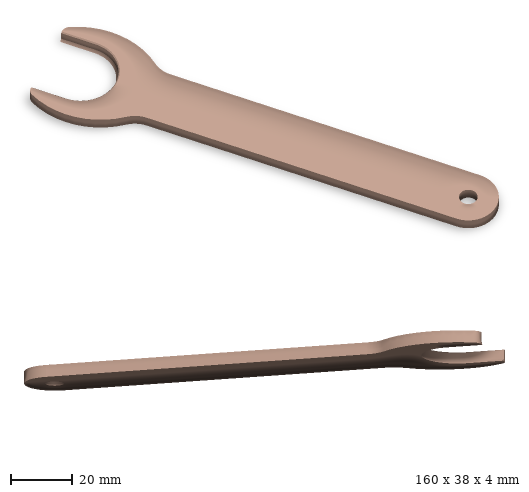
import cadquery as cq
import math

length = 160.0
thickness = 4.0
handle_width = 20.0
hang_hole_diameter = 6.0

head_width = 38.0
head_arc_radius = 29.0
head_center_x = 15.0
neck_radius = 10.0
tip_radius = 2.9

jaw_center_x = 12.2
jaw_radius = 12.5
rim_chamfer = 0.4
lip_size = 0.8

handle_half = handle_width / 2
end_center_x = length - handle_half
flank_center = (head_center_x, head_width / 2 - head_arc_radius)

neck_center_y = handle_half + neck_radius
neck_reach = head_arc_radius + neck_radius
neck_center = (
    head_center_x + math.sqrt(neck_reach**2 - (neck_center_y - flank_center[1]) ** 2),
    neck_center_y,
)

tip_reach = head_arc_radius - tip_radius
tip_center = (
    tip_radius,
    flank_center[1] + math.sqrt(tip_reach**2 - (head_center_x - tip_radius) ** 2),
)


def direction(start, end):
    """Angle of the line from start to end."""
    return math.atan2(end[1] - start[1], end[0] - start[0])


def on_circle(center, radius, angle):
    return center[0] + radius * math.cos(angle), center[1] + radius * math.sin(angle)


def make_half_body():
    """Half of the wrench plate on the +Y side of the centerline."""
    neck_angle = direction(neck_center, flank_center)
    tip_angle = direction(flank_center, tip_center)
    neck_middle_angle = (neck_angle - math.pi / 2) / 2
    tip_middle_angle = (tip_angle + math.pi) / 2
    return (
        cq.Workplane("XY")
        .lineTo(length, 0)
        .threePointArc(
            on_circle((end_center_x, 0), handle_half, math.pi / 4),
            (end_center_x, handle_half),
        )
        .lineTo(neck_center[0], handle_half)
        .threePointArc(
            on_circle(neck_center, neck_radius, neck_middle_angle),
            on_circle(neck_center, neck_radius, neck_angle),
        )
        .threePointArc(
            on_circle(flank_center, head_arc_radius, math.pi / 2),
            on_circle(flank_center, head_arc_radius, tip_angle),
        )
        .threePointArc(
            on_circle(tip_center, tip_radius, tip_middle_angle),
            (0, tip_center[1]),
        )
        .close()
        .extrude(thickness)
    )


def make_jaw_slab(radius):
    """U-shaped slab of the full plate thickness, open toward -X."""
    open_end_x = -radius
    return (
        cq.Workplane("XY")
        .moveTo(open_end_x, -radius)
        .lineTo(jaw_center_x, -radius)
        .threePointArc((jaw_center_x + radius, 0), (jaw_center_x, radius))
        .lineTo(open_end_x, radius)
        .close()
        .extrude(thickness)
    )


def make_jaw_opening():
    """Jaw cutter with the lip at its bottom and the flared rim at its top."""
    wall = make_jaw_slab(jaw_radius).faces("<Z").chamfer(lip_size)
    flare = (
        make_jaw_slab(jaw_radius + rim_chamfer)
        .faces("<Z")
        .chamfer(rim_chamfer)
        .translate((0, 0, thickness - rim_chamfer))
    )
    return wall.union(flare)


def make_hang_hole():
    return (
        cq.Workplane("XY")
        .center(end_center_x, 0)
        .circle(hang_hole_diameter / 2)
        .extrude(thickness)
    )


half_body = make_half_body()
body = half_body.union(half_body.mirror("XZ"))
result = body.cut(make_jaw_opening()).cut(make_hang_hole())